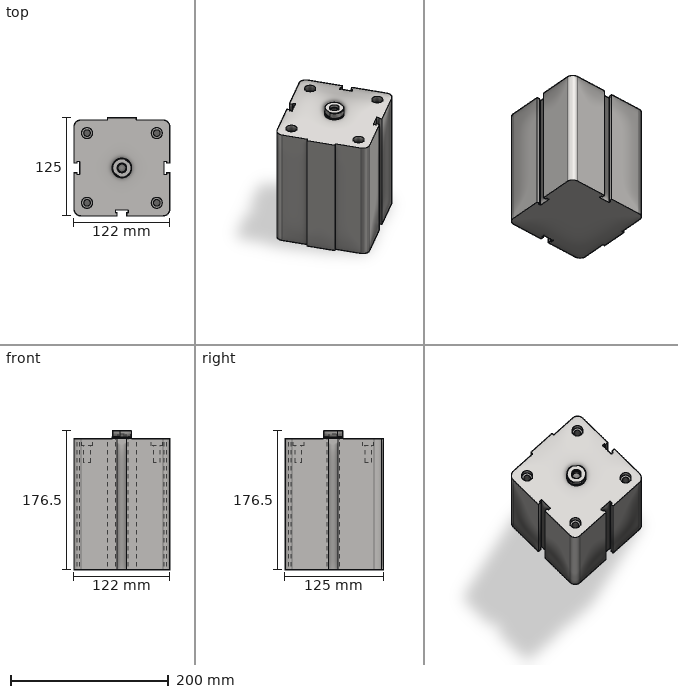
import cadquery as cq

HOUSING_WIDTH = 122.0
HOUSING_HEIGHT = 166.5
CORNER_RADIUS = 9.0
HALF_WIDTH = HOUSING_WIDTH / 2

PAD_WIDTH = 37.0
PAD_THICKNESS = 3.0

SLOT_MOUTH_WIDTH = 12.0
SLOT_INNER_WIDTH = 16.0
SLOT_LIP = 4.2
SLOT_DEPTH = 7.5
SLOT_FACE_ANGLES = (-90, 0, 90)

CORNER_HOLE_PITCH = 88.5
CORNER_COUNTERBORE_DIAMETER = 14.0
CORNER_COUNTERBORE_DEPTH = 9.0
CORNER_HOLE_DIAMETER = 8.38
CORNER_HOLE_DEPTH = 30.0

ROD_PROJECTION = 10.0
COLLAR_DIAMETER = 25.0
COLLAR_HEIGHT = 1.5
ROD_DIAMETER = 24.5
ROD_TOP_CHAMFER = 0.6
COLLAR_TAPER_HEIGHT = 0.6
COLLAR_STEP = (COLLAR_DIAMETER - ROD_DIAMETER) / 2

FLAT_SPACING = 22.0
FLAT_HEIGHT = 7.2
FLAT_ANGLE = 52.0

ROD_HOLE_DIAMETER = 10.11
ROD_COUNTERBORE_DIAMETER = 12.3
ROD_COUNTERBORE_DEPTH = 4.0


def make_slot_cutter(face_angle):
    """T-slot over the full height, modelled in the -Y face and turned about Z."""
    mouth = SLOT_MOUTH_WIDTH / 2
    inner = SLOT_INNER_WIDTH / 2
    lip_y = -HALF_WIDTH + SLOT_LIP
    floor_y = -HALF_WIDTH + SLOT_DEPTH
    outline = [
        (-mouth, -HALF_WIDTH),
        (mouth, -HALF_WIDTH),
        (mouth, lip_y),
        (inner, lip_y),
        (inner, floor_y),
        (-inner, floor_y),
        (-inner, lip_y),
        (-mouth, lip_y),
    ]
    slot = cq.Workplane("XY").polyline(outline).close().extrude(HOUSING_HEIGHT)
    return slot.rotate((0, 0, 0), (0, 0, 1), face_angle)


def make_housing():
    body = (
        cq.Workplane("XY")
        .rect(HOUSING_WIDTH, HOUSING_WIDTH)
        .extrude(HOUSING_HEIGHT)
        .edges("|Z")
        .fillet(CORNER_RADIUS)
    )
    pad_reach = HALF_WIDTH + PAD_THICKNESS
    pad = (
        cq.Workplane("XY")
        .center(0, pad_reach / 2)
        .rect(PAD_WIDTH, pad_reach)
        .extrude(HOUSING_HEIGHT)
    )
    body = body.union(pad)
    for face_angle in SLOT_FACE_ANGLES:
        body = body.cut(make_slot_cutter(face_angle))
    return (
        body.faces(">Z")
        .workplane(origin=(0, 0, HOUSING_HEIGHT))
        .rect(CORNER_HOLE_PITCH, CORNER_HOLE_PITCH, forConstruction=True)
        .vertices()
        .cboreHole(
            CORNER_HOLE_DIAMETER,
            CORNER_COUNTERBORE_DIAMETER,
            CORNER_COUNTERBORE_DEPTH,
            CORNER_HOLE_DEPTH,
        )
    )


def make_rod_end():
    base = cq.Workplane("XY").workplane(offset=HOUSING_HEIGHT)
    collar = (
        base.circle(COLLAR_DIAMETER / 2)
        .extrude(COLLAR_HEIGHT + COLLAR_TAPER_HEIGHT)
        .faces(">Z")
        .chamfer(COLLAR_TAPER_HEIGHT, COLLAR_STEP)
    )
    rod = (
        base.circle(ROD_DIAMETER / 2)
        .extrude(ROD_PROJECTION)
        .faces(">Z")
        .chamfer(ROD_TOP_CHAMFER)
    )
    flats_keep = (
        cq.Workplane("XY")
        .workplane(offset=HOUSING_HEIGHT + ROD_PROJECTION - FLAT_HEIGHT)
        .rect(FLAT_SPACING, COLLAR_DIAMETER)
        .extrude(FLAT_HEIGHT)
        .rotate((0, 0, 0), (0, 0, 1), FLAT_ANGLE)
    )
    below_flats = base.circle(COLLAR_DIAMETER / 2).extrude(ROD_PROJECTION - FLAT_HEIGHT)
    return (
        collar.union(rod)
        .intersect(flats_keep.union(below_flats))
        .faces(">Z")
        .workplane(origin=(0, 0, HOUSING_HEIGHT + ROD_PROJECTION))
        .cboreHole(ROD_HOLE_DIAMETER, ROD_COUNTERBORE_DIAMETER, ROD_COUNTERBORE_DEPTH)
    )


housing = make_housing()
rod_end = make_rod_end()

result = cq.Compound.makeCompound([housing.val(), rod_end.val()])